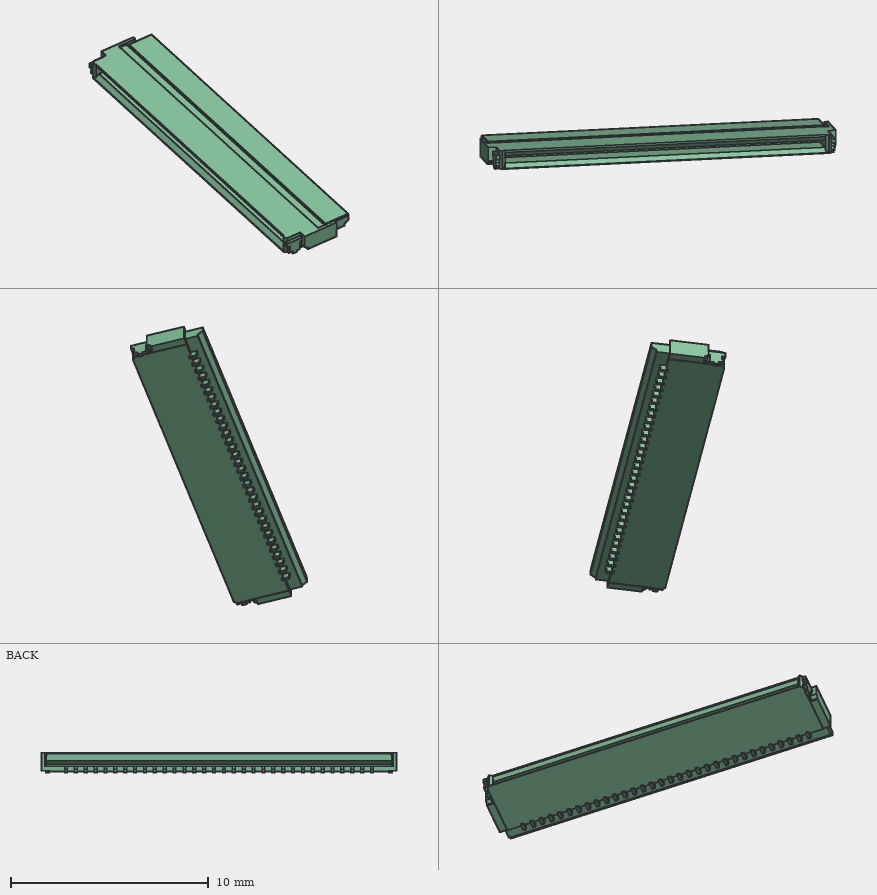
import cadquery as cq

length = 18.0
depth = 3.8
height = 1.0
front_y = -depth / 2
back_y = depth / 2

housing_width = 17.19
housing_base = 0.05
corner_chamfer_x = 0.13
corner_chamfer_y = 0.16
wing_base = 0.09
wing_front = -0.99
wing_back = 0.99
wing_notch_y = -0.8
wing_notch_low = 0.18
wing_notch_high = 0.3

ledge_half_width = 8.68
ledge_front = -1.12
ledge_top = 0.18

slot_width = 16.6
slot_floor = 0.3
slot_roof = 0.68
slot_back = -0.45
mouth_floor = 0.09
mouth_roof = 0.9
ramp_run = 0.27
roof_slope_run = 0.16
side_flare = 0.15
lip_setback = 0.09

recess_width = 17.64
recess_front = -0.04
recess_floor = 0.9
actuator_width = 17.51
actuator_front = 0.45
actuator_base = 0.32
actuator_top = 0.95
actuator_edge_drop = 0.05
actuator_edge_width = 0.07
actuator_heel_y = 1.64
actuator_heel_top = 0.43
actuator_back_low = 0.61

tail_count = 32
tail_span = 15.5
tail_pitch = tail_span / (tail_count - 1)
tail_width = 0.15
tail_front = 0.88
tail_back = 1.31
tail_foot_back = 1.26
tail_step = 0.16

plate_outer = 8.77
plate_top = 0.8
plate_waist_top = 0.55
plate_waist_back = -1.12
plate_base = 0.09
plate_leg_back = -1.3
plate_leg_front = -1.55
plate_front_base = 0.16
plate_notch_y = -1.73
plate_notch_bottom = 0.36
plate_toe_y = -1.82
plate_toe_top = 0.23


def box(x_size, y_min, y_max, z_min, z_max):
    """Box centred on X between the given Y and Z limits."""
    return (
        cq.Workplane("XY")
        .box(x_size, y_max - y_min, z_max - z_min, centered=(True, False, False))
        .translate((0, y_min, z_min))
    )


def side_prism(points, x_min, x_max):
    """Extrude a (Y, Z) outline from x_min to x_max."""
    return cq.Workplane("YZ").workplane(offset=x_min).polyline(points).close().extrude(x_max - x_min)


def plan_prism(points, z_min, z_max):
    """Extrude an (X, Y) outline from z_min to z_max."""
    return cq.Workplane("XY").workplane(offset=z_min).polyline(points).close().extrude(z_max - z_min)


def make_housing():
    side_x = housing_width / 2
    core_plan = [
        (-side_x, wing_back),
        (-side_x, front_y + corner_chamfer_y),
        (-side_x + corner_chamfer_x, front_y),
        (side_x - corner_chamfer_x, front_y),
        (side_x, front_y + corner_chamfer_y),
        (side_x, wing_back),
    ]
    core = plan_prism(core_plan, housing_base, height)
    ledge = box(2 * ledge_half_width, ledge_front, wing_notch_y, wing_base, ledge_top)
    wing_outline = [
        (wing_front, height),
        (wing_front, wing_notch_high),
        (wing_notch_y, wing_notch_low),
        (wing_notch_y, wing_base),
        (wing_back, wing_base),
        (wing_back, height),
    ]
    return core.union(ledge).union(side_prism(wing_outline, -length / 2, length / 2))


def make_cable_slot():
    lip_y = front_y + lip_setback
    slot_outline = [
        (front_y, mouth_floor),
        (front_y + ramp_run, slot_floor),
        (slot_back, slot_floor),
        (slot_back, slot_roof),
        (lip_y + roof_slope_run, slot_roof),
        (lip_y, mouth_roof),
        (lip_y, height),
        (front_y, height),
    ]
    slot_half = slot_width / 2
    mouth_half = slot_half + side_flare
    mouth_plan = [
        (-mouth_half, front_y),
        (mouth_half, front_y),
        (slot_half, lip_y),
        (slot_half, slot_back),
        (-slot_half, slot_back),
        (-slot_half, lip_y),
    ]
    slot = side_prism(slot_outline, -mouth_half, mouth_half)
    return slot.intersect(plan_prism(mouth_plan, mouth_floor, height))


def make_top_recess():
    shallow = box(recess_width, recess_front, actuator_front, recess_floor, height)
    seat = box(recess_width, actuator_front, wing_back, actuator_base, height)
    return shallow.union(seat)


def make_actuator():
    outline = [
        (actuator_front, actuator_base),
        (actuator_heel_y, actuator_base),
        (actuator_heel_y, actuator_heel_top),
        (back_y, actuator_back_low),
        (back_y, actuator_top),
        (actuator_front, actuator_top),
    ]
    actuator = side_prism(outline, -actuator_width / 2, actuator_width / 2)
    top_face = actuator.faces(">Z")
    bevelled = top_face.edges("<Y or <X or >X")
    return bevelled.chamfer(actuator_edge_drop, actuator_edge_width)


def make_tails():
    outline = [
        (tail_front, 0),
        (tail_foot_back, 0),
        (tail_foot_back, tail_step),
        (tail_back, tail_step),
        (tail_back, actuator_base),
        (tail_front, actuator_base),
    ]
    first_tail = -tail_span / 2
    tails = cq.Workplane("XY")
    for index in range(tail_count):
        centre = first_tail + index * tail_pitch
        tails = tails.add(side_prism(outline, centre - tail_width / 2, centre + tail_width / 2))
    return tails.combine()


def make_hold_down():
    outline = [
        (wing_front, plate_top),
        (wing_front, plate_waist_top),
        (plate_waist_back, plate_waist_top),
        (plate_waist_back, plate_base),
        (plate_leg_back, plate_base),
        (plate_leg_back, 0),
        (plate_leg_front, 0),
        (plate_leg_front, plate_front_base),
        (plate_toe_y, plate_front_base),
        (plate_toe_y, plate_toe_top),
        (plate_notch_y, plate_notch_bottom),
        (plate_notch_y, plate_waist_top),
        (front_y, plate_waist_top),
        (front_y, plate_top),
    ]
    return side_prism(outline, -plate_outer, -housing_width / 2)


hold_down = make_hold_down()
result = (
    make_housing()
    .cut(make_cable_slot())
    .cut(make_top_recess())
    .union(make_actuator())
    .union(make_tails())
    .union(hold_down)
    .union(hold_down.mirror("YZ"))
)